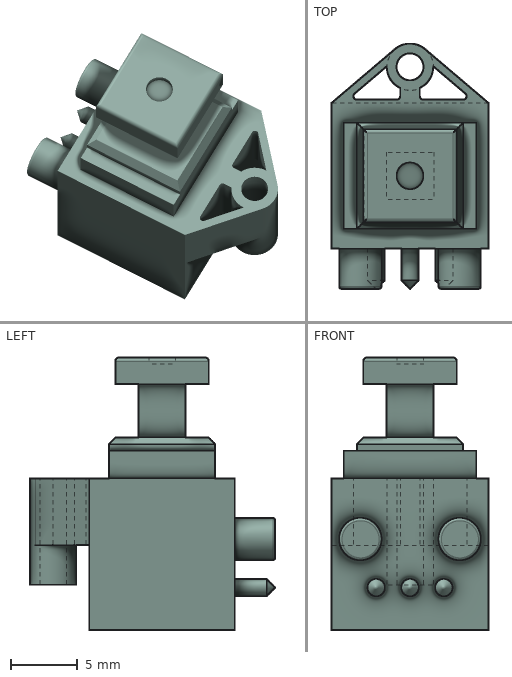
import cadquery as cq
import math

block_x = 11.8
block_y = 10.95
block_z = 11.4
front_y = -block_y / 2
back_y = block_y / 2
lug_reach = 4.47

plate_x = 9.96
plate_height = 2.1
plate_top = block_z + plate_height

peg_diameter = 3.2
peg_length = 3.03
peg_fillet = 0.2
peg_offset_x = 3.73
peg_z = 6.85
pin_diameter = 1.31
pin_tip_length = pin_diameter / 2
pin_shank_length = peg_length - pin_tip_length
pin_pitch = 2.55
pin_z = 3.2

boss_diameter = 3.5
boss_radius = boss_diameter / 2
boss_hole_diameter = 2.0
boss_height = 8.0
boss_y = back_y + lug_reach - boss_radius
web_height = 5.0
web_thickness = 0.6
web_foot = 0.27
rib_width = 1.5
window_fillet = 0.25

collar_side = 8.0
collar_band = 0.5
collar_chamfer = 0.51
collar_height = collar_band + collar_chamfer
stem_side = 3.55
cap_side = 7.03
cap_height = 2.0
cap_fillet = 0.29
dimple_diameter = 2.0
dimple_depth = 0.5
total_height = 20.5
button_height = total_height - plate_top
stem_height = button_height - collar_height - cap_height


def box_on(side_x, side_y, height, bottom_z):
    """Box centred on the Z axis, standing at bottom_z."""
    return cq.Workplane("XY").workplane(offset=bottom_z).rect(side_x, side_y).extrude(height)


def make_peg(x):
    """Round peg with a rounded end, pointing to -Y."""
    peg = cq.Workplane("XZ", origin=(x, front_y, peg_z)).circle(peg_diameter / 2).extrude(peg_length)
    return peg.faces("<Y").edges().fillet(peg_fillet)


def make_pin(x):
    """Contact pin with a conical point, revolved about an axis along Y."""
    profile = (
        cq.Workplane("XY", origin=(x, front_y, pin_z))
        .lineTo(pin_diameter / 2, 0)
        .lineTo(pin_diameter / 2, -pin_shank_length)
        .lineTo(0, -pin_shank_length - pin_tip_length)
        .close()
    )
    return profile.revolve(360, (0, 0), (0, 1))


def make_lug():
    """Triangular web tangent to a bored boss, with a window on each side of a central rib."""
    half_width = block_x / 2
    boss_rise = boss_y - back_y
    corner_to_boss = math.hypot(half_width, boss_rise)
    slope = math.atan2(boss_rise, half_width) + math.asin(boss_radius / corner_to_boss)
    tangent_x = boss_radius * math.sin(slope)
    tangent_y = boss_y + boss_radius * math.cos(slope)

    web_bottom = block_z - web_height
    web = (
        cq.Workplane("XY", origin=(0, 0, web_bottom))
        .moveTo(-half_width, back_y)
        .lineTo(half_width, back_y)
        .lineTo(tangent_x, tangent_y)
        .threePointArc((0, boss_y + boss_radius), (-tangent_x, tangent_y))
        .close()
        .extrude(web_height)
    )

    window_base = back_y + web_foot
    rib_edge = rib_width / 2
    outer_x = half_width - web_thickness / math.sin(slope) - web_foot / math.tan(slope)
    window_top = window_base + (outer_x - rib_edge) * math.tan(slope)
    window = (
        cq.Workplane("XY", origin=(0, 0, web_bottom))
        .moveTo(rib_edge, window_base)
        .lineTo(outer_x, window_base)
        .lineTo(rib_edge, window_top)
        .close()
        .extrude(web_height)
        .edges("|Z")
        .fillet(window_fillet)
    )
    web = web.cut(window).cut(window.mirror("YZ"))

    boss_bottom = block_z - boss_height
    boss = cq.Workplane("XY", origin=(0, boss_y, boss_bottom)).circle(boss_radius).extrude(boss_height)
    bore = cq.Workplane("XY", origin=(0, boss_y, boss_bottom)).circle(boss_hole_diameter / 2).extrude(boss_height)
    return web.union(boss).cut(bore)


def make_housing():
    """Block with its top plate, lug, pegs and pins."""
    body = box_on(block_x, block_y, block_z, 0)
    body = body.union(box_on(plate_x, collar_side, plate_height, block_z))
    body = body.union(make_lug())
    for x in (-peg_offset_x, peg_offset_x):
        body = body.union(make_peg(x))
    for x in (-pin_pitch, 0, pin_pitch):
        body = body.union(make_pin(x))
    return body


def make_button():
    """Square chamfered collar resting on the plate, with a stem and a dimpled cap."""
    collar_top = plate_top + collar_height
    cap_bottom = collar_top + stem_height
    collar = box_on(collar_side, collar_side, collar_height, plate_top)
    collar = collar.faces(">Z").edges().chamfer(collar_chamfer)
    stem = box_on(stem_side, stem_side, stem_height, collar_top)
    cap = box_on(cap_side, cap_side, cap_height, cap_bottom)
    cap = cap.faces(">Z").edges().fillet(cap_fillet)
    cap = cap.faces(">Z").workplane().hole(dimple_diameter, dimple_depth)
    return collar.union(stem).union(cap)


housing = make_housing()
button = make_button()

result = cq.Compound.makeCompound([housing.val(), button.val()])